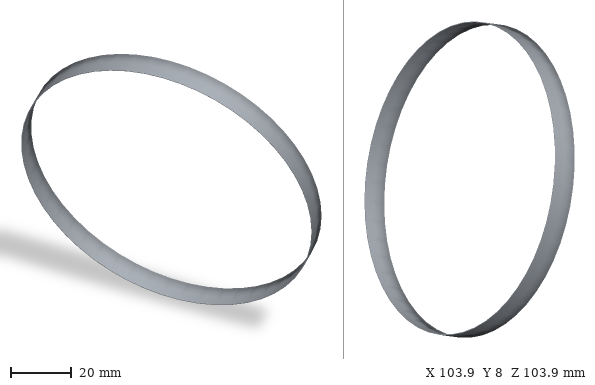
import cadquery as cq

outer_diameter = 103.9
wall_thickness = 0.25
band_width = 8.0

outer_radius = outer_diameter / 2
inner_radius = outer_radius - wall_thickness

result = (
    cq.Workplane("XZ", origin=(0, band_width / 2, 0))
    .circle(outer_radius)
    .circle(inner_radius)
    .extrude(band_width)
)